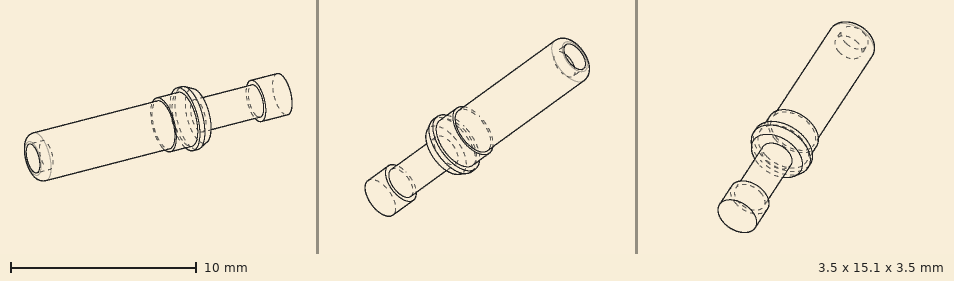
import cadquery as cq


barrel_length = 9.2
shoulder_length = 1.3
rim_width = 0.3
cone_length = 0.5
neck_length = 3.5
tail_length = 5.9

barrel_diameter = 2.67
shoulder_diameter = 3.0
collar_diameter = 3.5
cone_end_diameter = 3.03
neck_diameter = 1.8
head_diameter = 2.3

end_radius = 0.4
bore_diameter = 1.6
bore_depth = 0.8

cone_start = rim_width
cone_end = cone_start + cone_length
neck_end = cone_end + neck_length


def cylinder(diameter, y_start, y_end):
    """Solid cylinder on the Y axis between two stations."""
    base = cq.Workplane("XZ", origin=(0, y_start, 0))
    return base.circle(diameter / 2).extrude(y_start - y_end)


def make_barrel():
    """Barrel with a rounded open end and a blind bore."""
    barrel = cylinder(barrel_diameter, -barrel_length, 0)
    barrel = barrel.faces("<Y").edges().fillet(end_radius)
    bore = cylinder(bore_diameter, -barrel_length, bore_depth - barrel_length)
    return barrel.cut(bore)


def make_collar():
    """Collar with a straight rim and a cone tapering towards the neck."""
    profile = [
        (0, 0),
        (collar_diameter / 2, 0),
        (collar_diameter / 2, cone_start),
        (cone_end_diameter / 2, cone_end),
        (0, cone_end),
    ]
    return cq.Workplane("XY").polyline(profile).close().revolve(360, (0, 0, 0), (0, 1, 0))


shoulder = cylinder(shoulder_diameter, -shoulder_length, 0)
neck = cylinder(neck_diameter, cone_end, neck_end)
head = cylinder(head_diameter, neck_end, tail_length)

result = make_barrel().union(shoulder).union(make_collar()).union(neck).union(head)